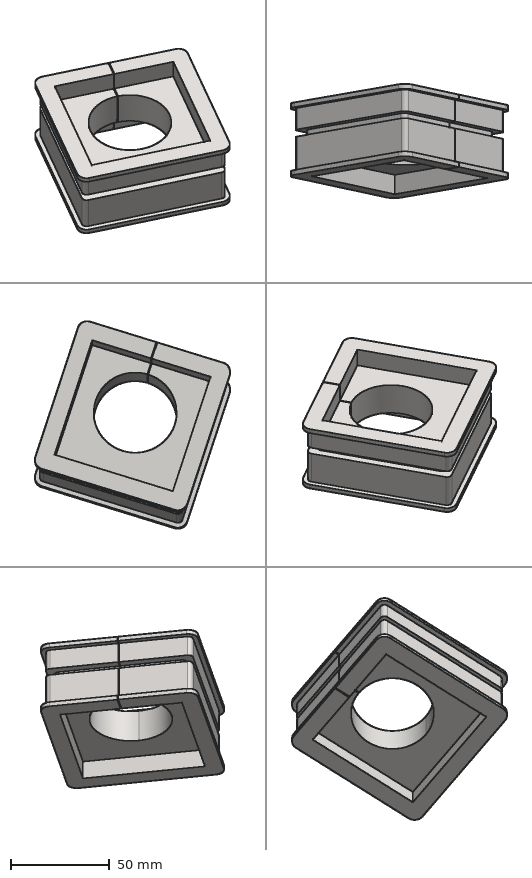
import cadquery as cq

side = 81.0
height = 37.5

flange_thickness = 2.5
flange_corner_radius = 5.0
body_inset = 2.5
body_corner_radius = 2.5
groove_inset = 6.5
groove_corner_radius = 2.5
groove_bottom = 20.25
groove_width = 3.65

pocket_side = 63.0
pocket_depth = 10.0
hole_diameter = 42.0
hole_center_x = -4.45
slit_width = 0.5


def rounded_square(width, corner_radius, bottom, thickness):
    """Square plate with rounded vertical corners, centred on the Z axis."""
    plate = cq.Workplane("XY", origin=(0, 0, bottom)).rect(width, width).extrude(thickness)
    return plate.edges("|Z").fillet(corner_radius)


body_side = side - 2 * body_inset
groove_side = side - 2 * groove_inset
groove_top = groove_bottom + groove_width
upper_flange_bottom = height - flange_thickness

lower_flange = rounded_square(side, flange_corner_radius, 0, flange_thickness)
lower_body = rounded_square(
    body_side, body_corner_radius, flange_thickness, groove_bottom - flange_thickness
)
waist = rounded_square(groove_side, groove_corner_radius, groove_bottom, groove_width)
upper_body = rounded_square(
    body_side, body_corner_radius, groove_top, upper_flange_bottom - groove_top
)
upper_flange = rounded_square(side, flange_corner_radius, upper_flange_bottom, flange_thickness)
outer = lower_flange.union(lower_body).union(waist).union(upper_body).union(upper_flange)

pocket_floor = height - pocket_depth
for pocket_bottom in (0, pocket_floor):
    pocket = (
        cq.Workplane("XY", origin=(0, 0, pocket_bottom))
        .rect(pocket_side, pocket_side)
        .extrude(pocket_depth)
    )
    outer = outer.cut(pocket)

hole = cq.Workplane("XY").center(hole_center_x, 0).circle(hole_diameter / 2).extrude(height)

slit_length = side / 2 + hole_center_x
slit = (
    cq.Workplane("XY")
    .center(hole_center_x - slit_length / 2, 0)
    .rect(slit_length, slit_width)
    .extrude(height)
)

result = outer.cut(hole).cut(slit)